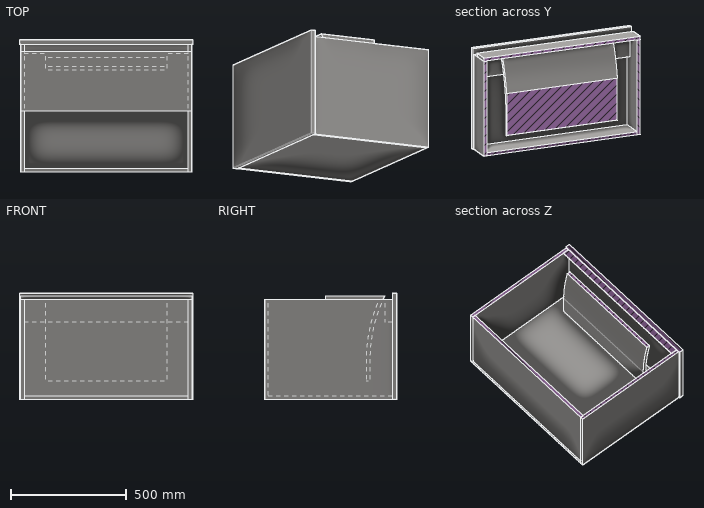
import cadquery as cq
import math

cabinet_width = 739.5
cabinet_depth = 552.0
cabinet_height = 433.0
board = 16.0
inner_width = cabinet_width - 2 * board

end_panel_width = 750.0
end_panel_height = 460.0
end_panel_thickness = 20.0
end_panel_round = 2.0

rail_thickness = 31.5
rail_height = 97.5

lid_front = 263.0
lid_top = cabinet_height + board
apron_front = 440.0
apron_bottom = 79.5
apron_bend_start = 175.0
apron_width = 523.5
apron_outer_radius = 630.0
apron_inner_radius = apron_outer_radius - board
bend_center_y = apron_front + apron_outer_radius


def block(width, depth, height, y, z, x=0):
    """Box centred on x, rising from z, with its -Y face at y."""
    return cq.Workplane("XY").box(width, depth, height, centered=(True, False, False)).translate((x, y, z))


def make_side(x):
    return block(board, cabinet_depth, cabinet_height, 0, 0, x)


def make_end_panel():
    panel = block(end_panel_width, end_panel_thickness, end_panel_height, cabinet_depth, 0)
    return panel.edges("|Y or >Y").fillet(end_panel_round)


def bend_point(radius, z):
    """Point (Y, Z) at height z on the bend arc of the given radius."""
    return (bend_center_y - math.sqrt(radius**2 - (z - apron_bend_start) ** 2), z)


def extrude_profile(profile, width):
    return profile.close().extrude(width / 2, both=True)


def make_lid():
    bend_middle = (apron_bend_start + cabinet_height) / 2
    slab_middle = cabinet_height + board / 2
    apron_back = apron_front + board

    slab = extrude_profile(
        cq.Workplane("YZ")
        .moveTo(lid_front, cabinet_height)
        .lineTo(*bend_point(apron_inner_radius, cabinet_height))
        .threePointArc(
            bend_point(apron_inner_radius, slab_middle),
            bend_point(apron_inner_radius, lid_top),
        )
        .lineTo(lid_front, lid_top),
        cabinet_width,
    )
    apron = extrude_profile(
        cq.Workplane("YZ")
        .moveTo(apron_front, apron_bottom)
        .lineTo(apron_front, apron_bend_start)
        .threePointArc(
            bend_point(apron_outer_radius, bend_middle),
            bend_point(apron_outer_radius, cabinet_height),
        )
        .lineTo(*bend_point(apron_inner_radius, cabinet_height))
        .threePointArc(
            bend_point(apron_inner_radius, bend_middle),
            (apron_back, apron_bend_start),
        )
        .lineTo(apron_back, apron_bottom),
        apron_width,
    )
    return slab.union(apron)


side_x = (cabinet_width - board) / 2
sides = [make_side(x) for x in (-side_x, side_x)]
bottom = block(inner_width, cabinet_depth, board, 0, 0)
front_panel = block(inner_width, board, cabinet_height - board, 0, board)
rail = block(
    inner_width, rail_thickness, rail_height, cabinet_depth - rail_thickness, cabinet_height - rail_height
)
end_panel = make_end_panel()
lid = make_lid()

result = cq.Compound.makeCompound(
    [
        *[side.val() for side in sides],
        bottom.val(),
        front_panel.val(),
        rail.val(),
        end_panel.val(),
        lid.val(),
    ]
)